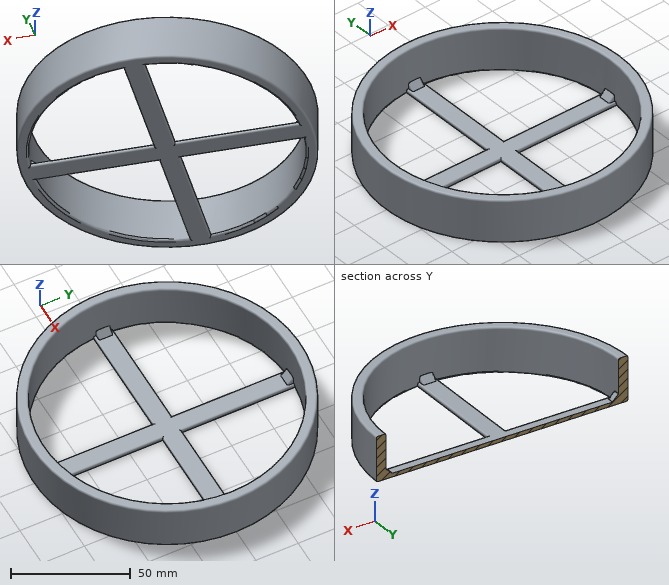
import cadquery as cq

outer_diameter = 126
bore_diameter = 116.0
height = 22.0
rim_round = 1.0

bar_width = 9.0
bar_thickness = 2.0
bar_round = 0.8

gusset_reach = 3.0
gusset_height = 3.0
gusset_width = bar_width - 3 * bar_round

outer_radius = outer_diameter / 2
bore_radius = bore_diameter / 2
embedded_radius = (outer_radius + bore_radius) / 2


def make_ring():
    """Round tube with its rim edges rounded."""
    ring = cq.Workplane("XY").circle(outer_radius).circle(bore_radius).extrude(height)
    return ring.faces("|Z").edges().fillet(rim_round)


def make_cross():
    """Two crossing bars with rounded upper and lower edges."""
    length = 2 * embedded_radius
    bar = cq.Workplane("XY").box(length, bar_width, bar_thickness, centered=(True, True, False))
    cross = bar.union(bar.rotate((0, 0, 0), (0, 0, 1), 90))
    return cross.faces("|Z").edges().fillet(bar_round)


def make_gusset():
    """Wedge on the +X bar, rising from the bar to the bore, with its sloped edges rounded."""
    toe_radius = bore_radius - gusset_reach
    top = bar_thickness + gusset_height
    profile = [
        (toe_radius, bar_thickness),
        (bore_radius, top),
        (embedded_radius, top),
        (embedded_radius, 0),
        (toe_radius, 0),
    ]
    wedge = cq.Workplane("XZ").polyline(profile).close().extrude(gusset_width / 2, both=True)
    slope_center = (bore_radius - gusset_reach / 2, 0, bar_thickness + gusset_height / 2)
    slope = wedge.faces(cq.selectors.NearestToPointSelector(slope_center))
    return slope.edges("not |Y").fillet(bar_round)


result = make_ring().union(make_cross())
gusset = make_gusset()
for angle in (0, 90, 180, 270):
    result = result.union(gusset.rotate((0, 0, 0), (0, 0, 1), angle))